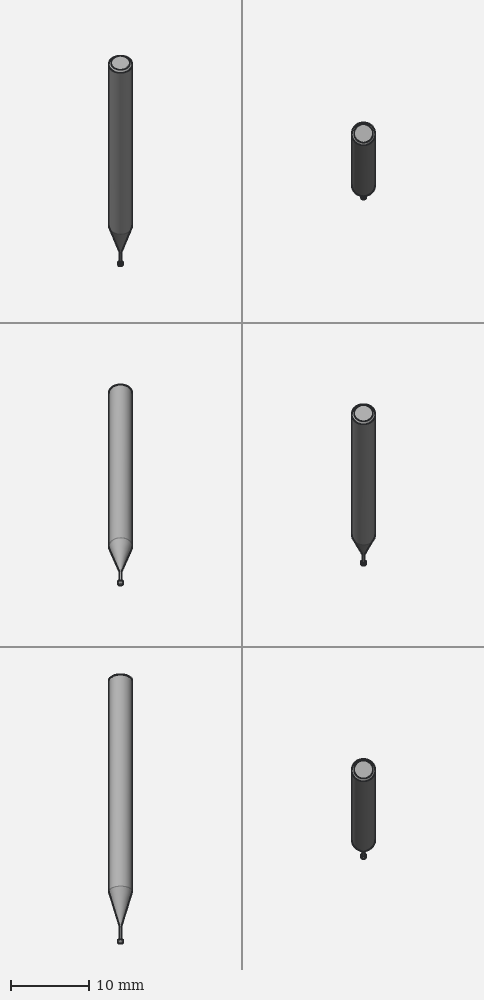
import cadquery as cq
import math

total_length = 38.0
shank_radius = 3.0 / 2
end_chamfer_width = 0.3
end_chamfer_height = 0.25
shank_start = 7.45

cone_start = 2.62
cone_small_radius = 0.38 / 2
neck_top = 2.4
neck_radius = 0.32 / 2

head_radius = 0.72 / 2
tip_face_radius = 0.32 / 2
head_rim_top = 0.38
head_top = 0.5

tip_corner_radius = head_radius - tip_face_radius
tip_arc_middle = (
    tip_face_radius + tip_corner_radius * math.sqrt(0.5),
    tip_corner_radius * (1 - math.sqrt(0.5)),
)

section = (
    cq.Workplane("XZ")
    .moveTo(0, 0)
    .lineTo(tip_face_radius, 0)
    .threePointArc(tip_arc_middle, (head_radius, tip_corner_radius))
    .lineTo(head_radius, head_rim_top)
    .lineTo(neck_radius, head_top)
    .lineTo(neck_radius, neck_top)
    .lineTo(cone_small_radius, cone_start)
    .lineTo(shank_radius, shank_start)
    .lineTo(shank_radius, total_length - end_chamfer_height)
    .lineTo(shank_radius - end_chamfer_width, total_length)
    .lineTo(0, total_length)
    .close()
)

result = section.revolve(360, (0, 0, 0), (0, 1, 0))